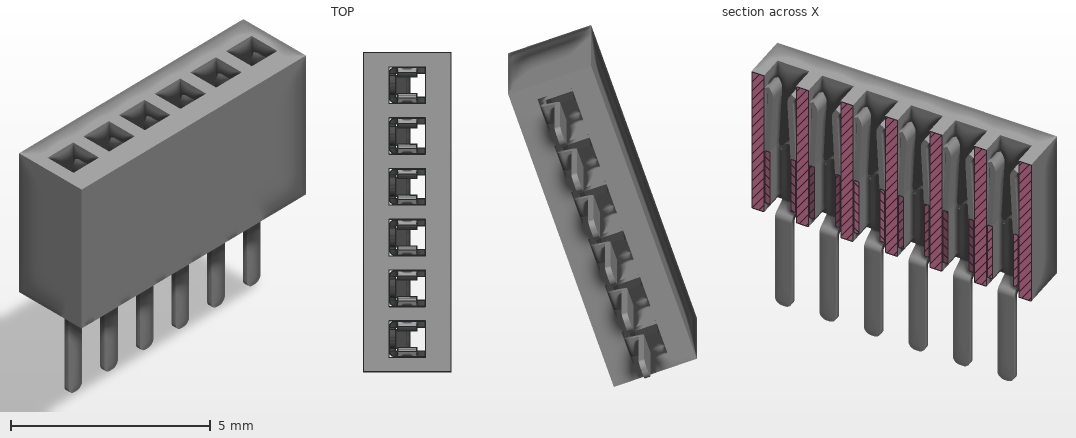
import cadquery as cq
import math

contact_count = 6
pitch = 1.27
contact_positions = [(i - (contact_count - 1) / 2) * pitch for i in range(contact_count)]

housing_width = 2.2
housing_length = 7.99
housing_height = 4.3
cavity_size = 0.91

cavity_clearance = 0.01
sheet = 0.15
strip_width = 0.48
strip_corner_radius = 0.2
channel_half = cavity_size / 2 - cavity_clearance
channel_inner = channel_half - sheet

tail_length = 2.9
tail_bend_drop = 0.22
bend_inner_radius = 0.05
bend_angle = math.radians(60)

arm_tip_depth = 0.32
arm_gap_half = 0.205
flare_angle = math.radians(30)
flare_length = 0.12
contact_radius = 0.37
lean_angle = math.radians(3)
root_radius = 0.3

channel_bottom = 0.3
tongue_height = 0.25

bend_outer_radius = bend_inner_radius + sheet
bend_mid_radius = bend_inner_radius + sheet / 2
back_mid_x = -channel_half + sheet / 2
bends_run = 2 * bend_mid_radius * (1 - math.cos(bend_angle))
slope_length = (-back_mid_x - bends_run) / math.sin(bend_angle)
lower_bend_z = -tail_bend_drop
upper_bend_z = (
    lower_bend_z + 2 * bend_mid_radius * math.sin(bend_angle) + slope_length * math.cos(bend_angle)
)
lower_bend_center = (-bend_mid_radius, lower_bend_z)
upper_bend_center = (back_mid_x + bend_mid_radius, upper_bend_z)

flare_top_z = housing_height - arm_tip_depth
flare_bottom_z = flare_top_z - flare_length * math.cos(flare_angle)
contact_center = (arm_gap_half + contact_radius, flare_bottom_z - contact_radius * math.sin(flare_angle))
lean_top_y = contact_center[0] - contact_radius * math.cos(lean_angle)
lean_top_z = contact_center[1] - contact_radius * math.sin(lean_angle)
arm_root_z = lean_top_z - (channel_inner - lean_top_y) / math.tan(lean_angle)

root_reach = channel_half - strip_width / 2
root_drop = math.sqrt(root_radius**2 - (root_radius - root_reach) ** 2)
shoulder_z = arm_root_z - root_drop


def polar(center, radius, angle):
    return (center[0] + radius * math.cos(angle), center[1] + radius * math.sin(angle))


def make_housing():
    block = cq.Workplane("XY").box(
        housing_width, housing_length, housing_height, centered=(True, True, False)
    )
    return (
        block.faces(">Z")
        .workplane()
        .pushPoints([(0, y) for y in contact_positions])
        .rect(cavity_size, cavity_size)
        .cutThruAll()
    )


def make_strip():
    """Tail, double bend and back tongue: one constant-thickness strip with rounded ends."""
    half = sheet / 2
    half_bend = bend_angle / 2
    tongue_top = shoulder_z + tongue_height

    def lower(radius, angle):
        return polar(lower_bend_center, radius, angle)

    def upper(radius, angle):
        return polar(upper_bend_center, radius, math.pi + angle)

    strip = (
        cq.Workplane("XZ")
        .moveTo(half, -tail_length)
        .lineTo(*lower(bend_outer_radius, 0))
        .threePointArc(lower(bend_outer_radius, half_bend), lower(bend_outer_radius, bend_angle))
        .lineTo(*upper(bend_inner_radius, bend_angle))
        .threePointArc(upper(bend_inner_radius, half_bend), upper(bend_inner_radius, 0))
        .lineTo(back_mid_x + half, tongue_top)
        .lineTo(back_mid_x - half, tongue_top)
        .lineTo(*upper(bend_outer_radius, 0))
        .threePointArc(upper(bend_outer_radius, half_bend), upper(bend_outer_radius, bend_angle))
        .lineTo(*lower(bend_inner_radius, bend_angle))
        .threePointArc(lower(bend_inner_radius, half_bend), lower(bend_inner_radius, 0))
        .lineTo(-half, -tail_length)
        .close()
        .extrude(strip_width / 2, both=True)
    )
    return strip.faces("<Z or >Z").edges("|X").fillet(strip_corner_radius)


def make_channel(bottom, top):
    """U-shaped channel, open toward +X, with rounded outer corners at the back."""
    outside = (
        cq.Workplane("XY", origin=(0, 0, bottom))
        .rect(2 * channel_half, 2 * channel_half)
        .extrude(top - bottom)
        .edges("|Z and <X")
        .fillet(sheet)
    )
    inside = (
        cq.Workplane("XY", origin=(sheet, 0, bottom))
        .rect(2 * channel_half, 2 * channel_inner)
        .extrude(top - bottom)
    )
    return outside.cut(inside)


def make_arm_roots():
    """Channel sides that narrow upward, in concave arcs, to the width of the spring arms."""
    arm_half = strip_width / 2
    arc_angle = math.asin(root_drop / root_radius) / 2
    arc_mid_x = arm_half + root_radius * (1 - math.cos(arc_angle))
    arc_mid_z = arm_root_z - root_radius * math.sin(arc_angle)
    tapered = (
        cq.Workplane("XZ")
        .moveTo(-channel_half, shoulder_z)
        .lineTo(channel_half, shoulder_z)
        .threePointArc((arc_mid_x, arc_mid_z), (arm_half, arm_root_z))
        .lineTo(-arm_half, arm_root_z)
        .threePointArc((-arc_mid_x, arc_mid_z), (-channel_half, shoulder_z))
        .close()
        .extrude(channel_half, both=True)
    )
    between_sides = cq.Workplane("XY").box(2 * channel_half, 2 * channel_inner, 2 * arm_root_z)
    return make_channel(shoulder_z, arm_root_z).intersect(tapered).cut(between_sides)


def make_arm():
    """+Y spring arm: leans in to the contact point, then flares out at the tip."""
    inner, outer = contact_radius, contact_radius - sheet
    start = math.pi + lean_angle
    end = math.pi - flare_angle
    middle = (start + end) / 2
    tip_y = flare_length * math.sin(flare_angle)
    tip_z = flare_length * math.cos(flare_angle)
    inner_end = polar(contact_center, inner, end)
    outer_end = polar(contact_center, outer, end)
    return (
        cq.Workplane("YZ")
        .moveTo(channel_inner, arm_root_z)
        .lineTo(*polar(contact_center, inner, start))
        .threePointArc(polar(contact_center, inner, middle), inner_end)
        .lineTo(inner_end[0] + tip_y, inner_end[1] + tip_z)
        .lineTo(outer_end[0] + tip_y, outer_end[1] + tip_z)
        .lineTo(*outer_end)
        .threePointArc(polar(contact_center, outer, middle), polar(contact_center, outer, start))
        .lineTo(channel_half, arm_root_z)
        .close()
        .extrude(strip_width / 2, both=True)
    )


def make_contact():
    arm = make_arm()
    return (
        make_channel(channel_bottom, shoulder_z)
        .union(make_strip())
        .union(make_arm_roots())
        .union(arm)
        .union(arm.mirror("XZ"))
    )


housing = make_housing()
contact = make_contact()
contacts = [contact.translate((0, y, 0)).val() for y in contact_positions]

result = cq.Compound.makeCompound([housing.val(), *contacts])